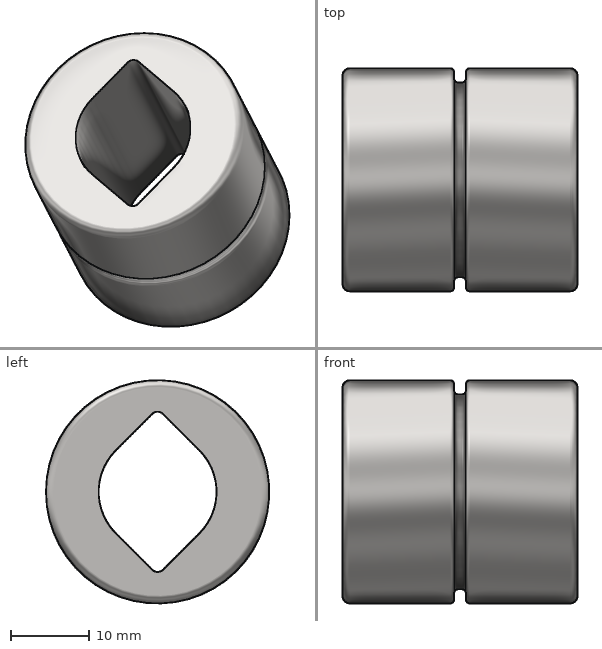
import cadquery as cq
import math

length = 30.0
outer_radius = 14.25
end_fillet = 1.0

groove_width = 1.5
groove_depth = 1.8
groove_fillet = 0.5

bore_radius = 7.5
bore_point_fillet = 1.0


def make_body():
    """Solid cylinder with rounded ends, centred on the origin."""
    cylinder = cq.Workplane("YZ", origin=(-length / 2, 0, 0)).circle(outer_radius).extrude(length)
    return cylinder.edges("%CIRCLE").fillet(end_fillet)


def cut_groove(body):
    """Cut the middle groove, then round its floor corners and its lips."""
    ring = (
        cq.Workplane("YZ", origin=(-groove_width / 2, 0, 0))
        .circle(outer_radius + groove_depth)
        .circle(outer_radius - groove_depth)
        .extrude(groove_width)
    )
    groove_zone = cq.selectors.BoxSelector(
        (-groove_width, -length, -length), (groove_width, length, length)
    )
    floor_and_lips = cq.selectors.AndSelector(groove_zone, cq.selectors.TypeSelector("CIRCLE"))
    return body.cut(ring).edges(floor_and_lips).fillet(groove_fillet)


def make_bore():
    """Through bore: two side arcs joined by 45 degree tangent walls meeting in rounded points."""
    tangent = bore_radius * math.sqrt(0.5)
    point_height = 2 * tangent
    sharp_bore = (
        cq.Workplane("YZ", origin=(-length / 2, 0, 0))
        .moveTo(tangent, -tangent)
        .threePointArc((bore_radius, 0), (tangent, tangent))
        .lineTo(0, point_height)
        .lineTo(-tangent, tangent)
        .threePointArc((-bore_radius, 0), (-tangent, -tangent))
        .lineTo(0, -point_height)
        .close()
        .extrude(length)
    )
    return sharp_bore.edges("|X").edges(">Z or <Z").fillet(bore_point_fillet)


result = cut_groove(make_body()).cut(make_bore())